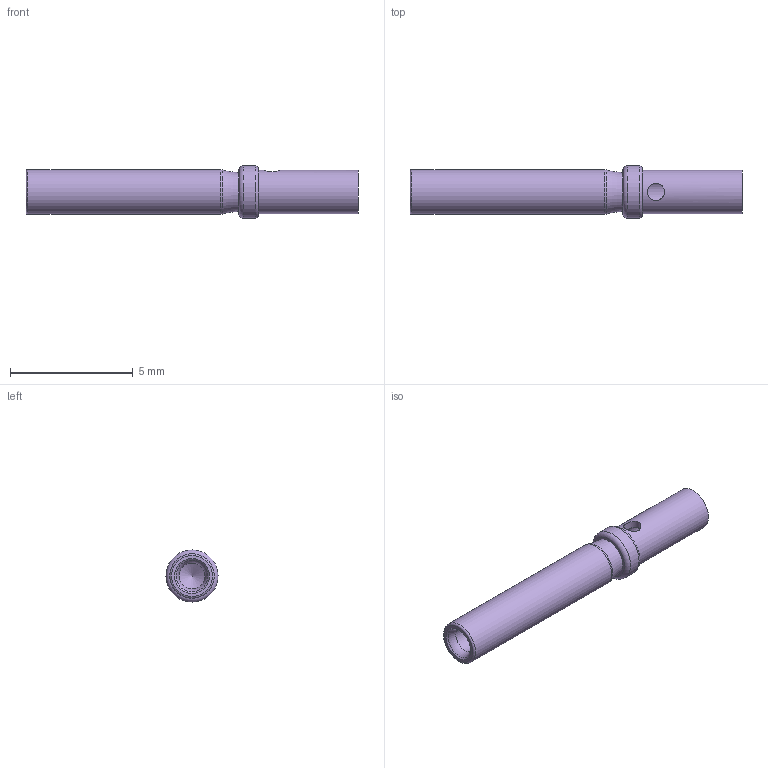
import cadquery as cq
import math

total_length = 13.55

barrel_radius = 0.91
barrel_end_x = 7.93
mouth_fillet = 0.08

neck_start_x = 8.0
neck_start_radius = 0.90
neck_end_radius = 0.79
neck_sag = 0.02

collar_radius = 1.065
collar_start_x = 8.69
collar_width = 0.79
collar_front_fillet = 0.18
collar_rear_fillet = 0.12

crimp_radius = 0.89
wire_bore_radius = 0.60
wire_bore_start_x = 9.5

inspection_radius = 0.35
inspection_x = 10.04

mouth_radius = 0.71
lead_in_chamfer = 0.06
throat_end_x = 0.38
socket_radius = 0.53
socket_depth = 6.0
drill_point_angle = 118.0

BEND = math.sqrt(0.5)


def outer_body():
    """Solid of revolution carrying the whole outer outline."""
    collar_end_x = collar_start_x + collar_width
    neck_middle = (
        (neck_start_x + collar_start_x) / 2,
        (neck_start_radius + neck_end_radius) / 2 - neck_sag,
    )
    front_x = collar_start_x + collar_front_fillet
    front_r = collar_radius - collar_front_fillet
    rear_x = collar_end_x - collar_rear_fillet
    rear_r = collar_radius - collar_rear_fillet
    outline = (
        cq.Workplane("XY")
        .moveTo(0, 0)
        .lineTo(0, barrel_radius - mouth_fillet)
        .threePointArc(
            (mouth_fillet * (1 - BEND), barrel_radius - mouth_fillet * (1 - BEND)),
            (mouth_fillet, barrel_radius),
        )
        .lineTo(barrel_end_x, barrel_radius)
        .lineTo(neck_start_x, neck_start_radius)
        .threePointArc(neck_middle, (collar_start_x, neck_end_radius))
        .lineTo(collar_start_x, front_r)
        .threePointArc(
            (front_x - collar_front_fillet * BEND, front_r + collar_front_fillet * BEND),
            (front_x, collar_radius),
        )
        .lineTo(rear_x, collar_radius)
        .threePointArc(
            (rear_x + collar_rear_fillet * BEND, rear_r + collar_rear_fillet * BEND),
            (collar_end_x, rear_r),
        )
        .lineTo(collar_end_x, crimp_radius)
        .lineTo(total_length, crimp_radius)
        .lineTo(total_length, 0)
        .close()
    )
    return outline.revolve(360, (0, 0, 0), (1, 0, 0))


def socket_bore():
    """Blind bore with a drill point, entered through a chamfer and a rounded throat."""
    point_length = socket_radius / math.tan(math.radians(drill_point_angle / 2))
    lead_in_radius = mouth_radius - lead_in_chamfer
    throat_length = throat_end_x - lead_in_chamfer
    throat_drop = lead_in_radius - socket_radius
    arc_radius = (throat_length**2 + throat_drop**2) / (2 * throat_drop)
    half_length = throat_length / 2
    middle_rise = arc_radius - math.sqrt(arc_radius**2 - half_length**2)
    outline = (
        cq.Workplane("XY")
        .moveTo(0, 0)
        .lineTo(0, mouth_radius)
        .lineTo(lead_in_chamfer, lead_in_radius)
        .threePointArc(
            (lead_in_chamfer + half_length, socket_radius + middle_rise),
            (throat_end_x, socket_radius),
        )
        .lineTo(socket_depth, socket_radius)
        .lineTo(socket_depth + point_length, 0)
        .close()
    )
    return outline.revolve(360, (0, 0, 0), (1, 0, 0))


def wire_bore():
    """Blind bore entering from the crimp end."""
    length = total_length - wire_bore_start_x
    return cq.Workplane("YZ", origin=(wire_bore_start_x, 0, 0)).circle(wire_bore_radius).extrude(length)


def inspection_hole():
    """Radial hole from the top down into the wire bore."""
    return cq.Workplane("XY", origin=(inspection_x, 0, 0)).circle(inspection_radius).extrude(collar_radius)


result = outer_body().cut(socket_bore()).cut(wire_bore()).cut(inspection_hole())